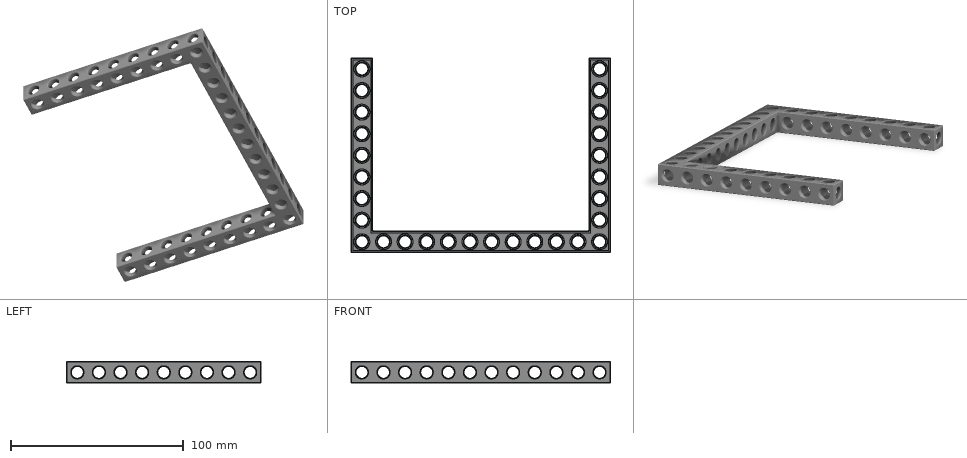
import cadquery as cq

pitch = 12.5
holes_across = 12
holes_along = 9

beam = pitch
length_x = holes_across * pitch
length_y = holes_along * pitch
edge_chamfer = 0.3

hole_diameter = 7.0
mouth_chamfer = 0.3

rim_width = 1.1
recess_depth = 0.2
ring_diameter = hole_diameter + 2 * rim_width


def grid_positions(count):
    """Hole positions along one beam, measured from the outer corner."""
    return [(index + 0.5) * pitch for index in range(count)]


xs = grid_positions(holes_across)
ys = grid_positions(holes_along)
mid_height = beam / 2
vertical_axes = [(x, ys[0]) for x in xs] + [(x, y) for x in (xs[0], xs[-1]) for y in ys[1:]]


def u_prism(inset, height):
    """U-shaped prism, open towards +Y, with its outline drawn in by the inset."""
    left = inset
    right = length_x - inset
    near = inset
    far = length_y - inset
    inner = beam - inset
    outline = [
        (left, near),
        (right, near),
        (right, far),
        (length_x - inner, far),
        (length_x - inner, inner),
        (inner, inner),
        (inner, far),
        (left, far),
    ]
    return cq.Workplane("XY").polyline(outline).close().extrude(height)


def make_frame():
    """U-shaped frame of square beams with every edge chamfered."""
    return u_prism(0, beam).edges().chamfer(edge_chamfer)


def make_recess():
    """Top face recess, with a ring left standing around each vertical hole."""
    rings = cq.Workplane("XY").pushPoints(vertical_axes).circle(ring_diameter / 2).extrude(recess_depth)
    return u_prism(rim_width, recess_depth).cut(rings).translate((0, 0, beam - recess_depth))


def hole_cutter(start, direction, length):
    """Through hole cutter from start along direction, with a chamfer at both mouths."""
    radius = hole_diameter / 2
    mouth = radius + mouth_chamfer
    profile = [
        (0, 0),
        (mouth, 0),
        (radius, mouth_chamfer),
        (radius, length - mouth_chamfer),
        (mouth, length),
        (0, length),
    ]
    axis = cq.Vector(*direction)
    radial = axis.cross(cq.Vector(1, 1, 1))
    plane = cq.Plane(origin=start, xDir=radial, normal=radial.cross(axis))
    return cq.Workplane(plane).polyline(profile).close().revolve(360, (0, 0), (0, 1)).val()


def vertical_holes():
    """Holes along Z through all three beams."""
    return [hole_cutter((x, y, 0), (0, 0, 1), beam) for x, y in vertical_axes]


def cross_beam_holes():
    """Holes along Y; the end two run the full length of the arms."""
    along_y = (0, 1, 0)
    short = [hole_cutter((x, 0, mid_height), along_y, beam) for x in xs[1:-1]]
    full = [hole_cutter((x, 0, mid_height), along_y, length_y) for x in (xs[0], xs[-1])]
    return short + full


def arm_holes():
    """Holes along X through both arms; the first runs the full length of the cross beam."""
    along_x = (1, 0, 0)
    arm_starts = (0, length_x - beam)
    short = [hole_cutter((x, y, mid_height), along_x, beam) for x in arm_starts for y in ys[1:]]
    return short + [hole_cutter((0, ys[0], mid_height), along_x, length_x)]


result = make_frame().cut(make_recess())
for cutters in (vertical_holes(), cross_beam_holes(), arm_holes()):
    result = result.cut(cq.Workplane(cq.Compound.makeCompound(cutters)))